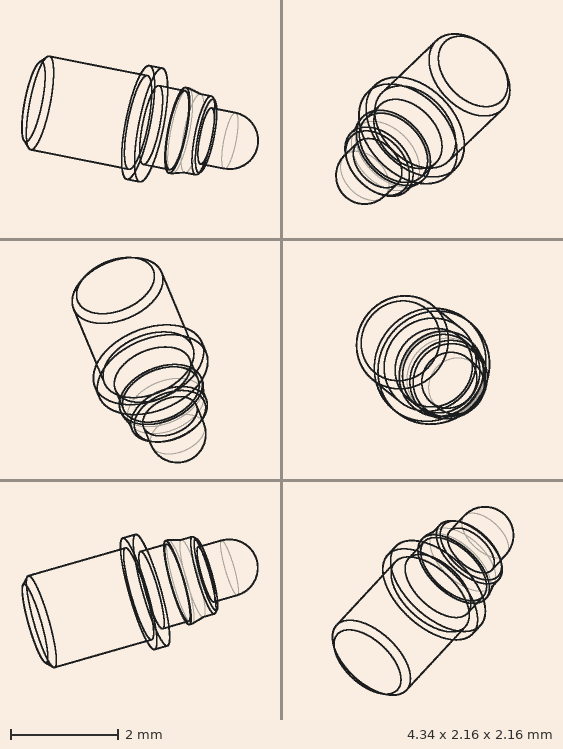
import cadquery as cq
import math


barrel_radius = 0.889
barrel_length = 2.032
barrel_chamfer = 0.127

flange_radius = 1.08
flange_thickness = 0.254

neck_radius = 0.749
neck_length = 1.067
neck_chamfer = 0.051

barb_radius = 0.813
barb_offset = 0.508
barb_land = 0.051
barb_taper_angle = 15.0

plunger_radius = 0.533
plunger_straight_length = 0.457

flange_front = barrel_length + flange_thickness
neck_front = flange_front + neck_length
barb_rear = flange_front + barb_offset
barb_taper_start = barb_rear + barb_land
barb_taper_length = (barb_radius - neck_radius) / math.tan(math.radians(barb_taper_angle))
barb_front = barb_taper_start + barb_taper_length
dome_start = neck_front + plunger_straight_length
tip = dome_start + plunger_radius

dome_mid_offset = plunger_radius * math.sin(math.radians(45))


def half_profile():
    """Half section in the XY plane, bounded below by the X axis."""
    return (
        cq.Workplane("XY")
        .moveTo(0, 0)
        .lineTo(0, barrel_radius - barrel_chamfer)
        .lineTo(barrel_chamfer, barrel_radius)
        .lineTo(barrel_length, barrel_radius)
        .lineTo(barrel_length, flange_radius)
        .lineTo(flange_front, flange_radius)
        .lineTo(flange_front, neck_radius)
        .lineTo(barb_rear, neck_radius)
        .lineTo(barb_rear, barb_radius)
        .lineTo(barb_taper_start, barb_radius)
        .lineTo(barb_front, neck_radius)
        .lineTo(neck_front - neck_chamfer, neck_radius)
        .lineTo(neck_front, neck_radius - neck_chamfer)
        .lineTo(neck_front, plunger_radius)
        .lineTo(dome_start, plunger_radius)
        .threePointArc((dome_start + dome_mid_offset, dome_mid_offset), (tip, 0))
        .close()
    )


result = half_profile().revolve(360, (0, 0, 0), (1, 0, 0))